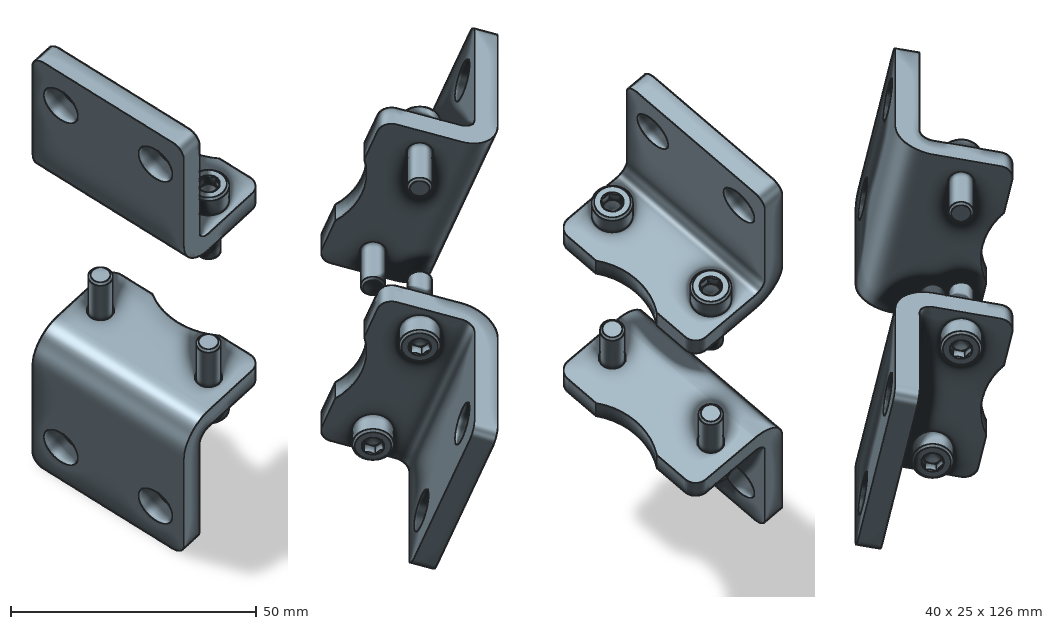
import cadquery as cq
import math

width = 40.0
depth = 25.0
total_height = 126.0
flange_height = 38.0
thickness = 5.0
outer_bend_radius = 8.0
inner_bend_radius = outer_bend_radius - thickness
corner_radius = 3.0

notch_radius = 16.0
notch_depth = 2.6

mounting_hole_diameter = 9.0
mounting_hole_spacing = 25.0
mounting_hole_edge_distance = 10.0

screw_spacing = 28.5
screw_edge_distance = 10.1
screw_hole_diameter = 5.5
shank_diameter = 5.0
shank_length = 16.0
tip_chamfer = 0.5
head_diameter = 8.5
head_height = 5.0
head_chamfer = 0.5

socket_across_flats = 4.0
socket_across_corners = socket_across_flats / math.cos(math.pi / 6)
socket_depth = 2.5
socket_floor_angle = 30.0

front_y = -depth / 2
back_y = depth / 2
top_z = total_height / 2
flange_bottom_z = top_z - flange_height
flange_top_z = flange_bottom_z + thickness
screw_y = back_y - screw_edge_distance
screw_xs = [-screw_spacing / 2, screw_spacing / 2]
mounting_hole_xs = [-mounting_hole_spacing / 2, mounting_hole_spacing / 2]


def make_bent_plate():
    """L-shaped plate with a rounded bend and rounded free corners."""
    plate = (
        cq.Workplane("YZ")
        .moveTo(front_y, top_z)
        .lineTo(front_y, flange_bottom_z)
        .lineTo(back_y, flange_bottom_z)
        .lineTo(back_y, flange_top_z)
        .lineTo(front_y + thickness, flange_top_z)
        .lineTo(front_y + thickness, top_z)
        .close()
        .extrude(width / 2, both=True)
    )
    plate = plate.edges("|X and <Y and <Z").fillet(outer_bend_radius)
    inner_corner = cq.selectors.NearestToPointSelector((0, front_y + thickness, flange_top_z))
    plate = plate.edges("|X").edges(inner_corner).fillet(inner_bend_radius)
    plate = plate.faces(">Z").edges("|Y").fillet(corner_radius)
    return plate.faces(">Y").edges("|Z").fillet(corner_radius)


def make_bracket():
    """Upper bracket with its edge notch, mounting holes and screw holes."""
    notch = (
        cq.Workplane("XY", origin=(0, back_y - notch_depth + notch_radius, flange_bottom_z))
        .circle(notch_radius)
        .extrude(thickness)
    )
    mounting_holes = (
        cq.Workplane("XZ", origin=(0, front_y, top_z - mounting_hole_edge_distance))
        .pushPoints([(x, 0) for x in mounting_hole_xs])
        .circle(mounting_hole_diameter / 2)
        .extrude(-thickness)
    )
    screw_holes = (
        cq.Workplane("XY", origin=(0, screw_y, flange_bottom_z))
        .pushPoints([(x, 0) for x in screw_xs])
        .circle(screw_hole_diameter / 2)
        .extrude(thickness)
    )
    return make_bent_plate().cut(notch).cut(mounting_holes).cut(screw_holes)


def make_socket():
    """Hexagon socket volume, open at z = head_height and with two corners along Y."""
    flats_radius = socket_across_flats / 2
    corners_radius = socket_across_corners / 2
    floor_z = head_height - socket_depth
    cone_depth = flats_radius * math.tan(math.radians(socket_floor_angle))
    rim_depth = corners_radius - flats_radius
    hexagon = (
        cq.Workplane("XY", origin=(0, 0, floor_z))
        .polygon(6, socket_across_corners)
        .extrude(socket_depth)
        .rotate((0, 0, 0), (0, 0, 1), 90)
    )
    rim_and_floor = (
        cq.Workplane("XZ")
        .moveTo(0, head_height)
        .lineTo(corners_radius, head_height)
        .lineTo(flats_radius, head_height - rim_depth)
        .lineTo(flats_radius, floor_z)
        .lineTo(0, floor_z - cone_depth)
        .close()
        .revolve(360, (0, 0, 0), (0, 1, 0))
    )
    return hexagon.union(rim_and_floor)


def make_screw(x):
    """Cap screw at x, its head resting on the horizontal flange of the upper bracket."""
    head_radius = head_diameter / 2
    shank_radius = shank_diameter / 2
    profile = (
        cq.Workplane("XZ")
        .moveTo(0, -shank_length)
        .lineTo(shank_radius - tip_chamfer, -shank_length)
        .lineTo(shank_radius, tip_chamfer - shank_length)
        .lineTo(shank_radius, 0)
        .lineTo(head_radius, 0)
        .lineTo(head_radius, head_height - head_chamfer)
        .lineTo(head_radius - head_chamfer, head_height)
        .lineTo(0, head_height)
        .close()
    )
    screw = profile.revolve(360, (0, 0, 0), (0, 1, 0)).cut(make_socket())
    return screw.translate((x, screw_y, flange_top_z))


upper_bodies = [make_bracket()]
for screw_x in screw_xs:
    upper_bodies.append(make_screw(screw_x))
lower_bodies = [body.mirror("XY") for body in upper_bodies]

result = cq.Compound.makeCompound([body.val() for body in upper_bodies + lower_bodies])